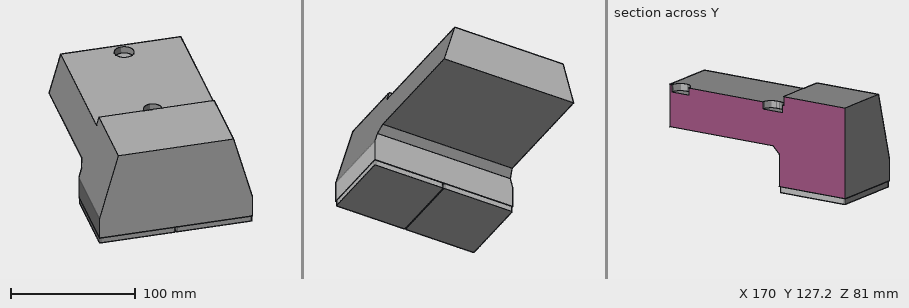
import cadquery as cq

length = 170.0
base_width = 127.2
height = 81.0

arm_top = 73.5
arm_bottom = 37.9
step_x = 110.3
head_x = 106.0
relief = 6.0

top_width = 95.9
taper_start = 23.6

pad_height = 5.0
pad_end_inset = 0.5
pad_side_inset = 0.2
pad_gap = 0.7
pad_corner_radius = 1.0

recess_depth = 6.0
round_recess_diameter = 16.0
round_recess_x = 10.5
slot_x = 100.0
slot_length = 18.2
slot_width = 15.0


def make_body():
    """Stepped side profile trimmed by the tapered cross-section."""
    side = (
        cq.Workplane("XZ")
        .moveTo(0, arm_bottom)
        .lineTo(0, arm_top)
        .lineTo(step_x, arm_top)
        .lineTo(step_x, height)
        .lineTo(length, height)
        .lineTo(length, pad_height)
        .lineTo(head_x, pad_height)
        .lineTo(head_x, arm_bottom - relief)
        .lineTo(head_x - relief, arm_bottom)
        .close()
        .extrude(base_width / 2, both=True)
    )
    section = (
        cq.Workplane("YZ")
        .moveTo(-base_width / 2, pad_height)
        .lineTo(base_width / 2, pad_height)
        .lineTo(base_width / 2, taper_start)
        .lineTo(top_width / 2, height)
        .lineTo(-top_width / 2, height)
        .lineTo(-base_width / 2, taper_start)
        .close()
        .extrude(length)
    )
    return side.intersect(section)


def make_pads():
    """Two rounded pads side by side, separated by a narrow gap."""
    pad_length = length - head_x - 2 * pad_end_inset
    pad_width = (base_width - pad_gap) / 2 - pad_side_inset
    pad_offset = (pad_gap + pad_width) / 2
    return (
        cq.Workplane("XY")
        .pushPoints([((head_x + length) / 2, side * pad_offset) for side in (-1, 1)])
        .rect(pad_length, pad_width)
        .extrude(pad_height)
        .edges("|Z")
        .fillet(pad_corner_radius)
    )


def make_recesses():
    """Cutters for the round recess and the slotted recess."""
    top = cq.Workplane("XY").workplane(offset=arm_top)
    round_recess = top.center(round_recess_x, 0).circle(round_recess_diameter / 2).extrude(-recess_depth)
    slot_recess = top.center(slot_x, 0).slot2D(slot_length, slot_width).extrude(-recess_depth)
    return round_recess.union(slot_recess)


result = make_body().union(make_pads()).cut(make_recesses())